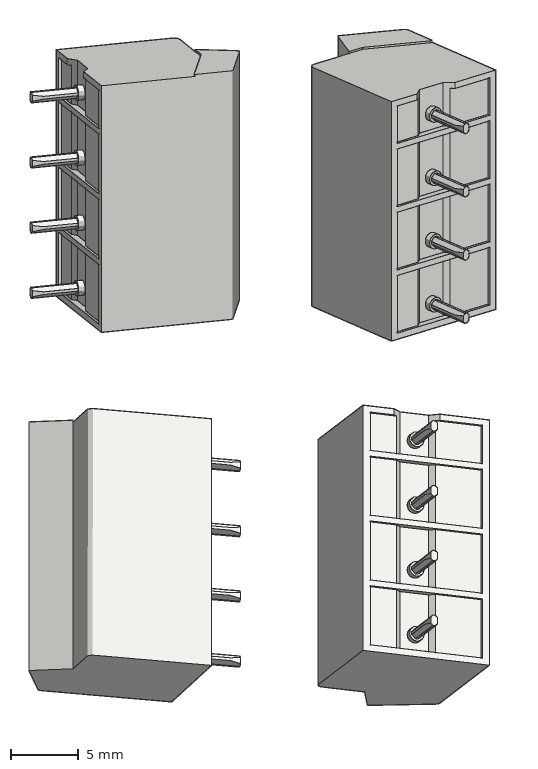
import cadquery as cq
import math

WIDTH = 10.0
HEIGHT = 19.1
DEPTH = 15.9

HOUSING_HEIGHT = 18.95
HOUSING_DEPTH = 9.5
HOUSING_FILLET = 0.5
SHOULDER_X = 5.15
SHOULDER_LEDGE = 0.2
TILT = 25.0

BLOCK_START_X = 3.84
BLOCK_RISE = 2.95
BLOCK_TIP_FILLET = 0.2
BLOCK_SIDE_FILLET = 0.36

POLE_COUNT = 4
POLE_PITCH = 5.0
PIN_X = 4.28
FIRST_PIN_Z = 1.8

SIDE_WALL = 0.57
FLOOR_WALL = 0.5
ROOF_WALL = 0.48
RIB = 0.44
CELL_DEPTH = 0.23

CHANNEL_MOUTH = 3.63
CHANNEL_FLOOR = 2.25
CHANNEL_DEPTH = 0.55

COLLAR_DIAMETER = 1.13
COLLAR_SETBACK = 0.05
PIN_WIDTH = 0.8
PIN_FLAT = 0.21
PIN_TIP_WIDTH = 0.53
PIN_TAPER = 0.82

tilt_slope = math.tan(math.radians(TILT))
pin_reach = DEPTH - HOUSING_DEPTH - BLOCK_RISE
ledge_x = WIDTH - SHOULDER_LEDGE
ledge_y = HOUSING_DEPTH - (ledge_x - SHOULDER_X) * tilt_slope


def prism_along_z(points, z_start, z_end):
    """Extrude an XY outline between two heights."""
    return cq.Workplane("XY").workplane(offset=z_start).polyline(points).close().extrude(z_end - z_start)


def edge_along_z(x, y):
    """Selector for the Z edge nearest to the given place, halfway up."""
    return cq.selectors.NearestToPointSelector((x, y, HEIGHT / 2))


def make_housing():
    outline = [
        (0, 0),
        (WIDTH, 0),
        (WIDTH, ledge_y),
        (ledge_x, ledge_y),
        (SHOULDER_X, HOUSING_DEPTH),
        (0, HOUSING_DEPTH),
    ]
    housing = prism_along_z(outline, 0, HOUSING_HEIGHT)
    return housing.edges(edge_along_z(0, HOUSING_DEPTH)).fillet(HOUSING_FILLET)


def make_entry_block():
    tilt = math.radians(TILT)
    rounding_loss = BLOCK_TIP_FILLET * (math.cos(tilt) + math.sin(tilt) - 1)
    tip_y = HOUSING_DEPTH + BLOCK_RISE + rounding_loss
    tip_x = BLOCK_START_X + (tip_y - HOUSING_DEPTH) * tilt_slope
    side_y = tip_y - (WIDTH - tip_x) * tilt_slope
    outline = [
        (BLOCK_START_X, HOUSING_DEPTH),
        (SHOULDER_X, HOUSING_DEPTH),
        (ledge_x, ledge_y),
        (WIDTH, ledge_y),
        (WIDTH, side_y),
        (tip_x, tip_y),
    ]
    block = prism_along_z(outline, 0, HEIGHT)
    block = block.edges(edge_along_z(tip_x, tip_y)).fillet(BLOCK_TIP_FILLET)
    return block.edges(edge_along_z(WIDTH, side_y)).fillet(BLOCK_SIDE_FILLET)


def make_front_recess(z_start, cell_top, channel_top):
    """Cell and channel of one pole, to be cut from the front face."""
    cell = cq.Workplane("XY").box(
        WIDTH - 2 * SIDE_WALL, CELL_DEPTH, cell_top - z_start, centered=False
    ).translate((SIDE_WALL, 0, z_start))
    channel = prism_along_z(
        [
            (PIN_X - CHANNEL_MOUTH / 2, 0),
            (PIN_X + CHANNEL_MOUTH / 2, 0),
            (PIN_X + CHANNEL_FLOOR / 2, CHANNEL_DEPTH),
            (PIN_X - CHANNEL_FLOOR / 2, CHANNEL_DEPTH),
        ],
        z_start,
        channel_top,
    )
    return cell.union(channel)


def make_pin(z):
    """Collar and tapered eight-sided pin pointing toward -Y."""
    collar = (
        cq.Workplane("XZ", origin=(PIN_X, CHANNEL_DEPTH, z))
        .circle(COLLAR_DIAMETER / 2)
        .extrude(CHANNEL_DEPTH - COLLAR_SETBACK)
    )
    shaft = (
        cq.Workplane("XZ", origin=(PIN_X, CHANNEL_DEPTH, z))
        .rect(PIN_WIDTH, PIN_WIDTH)
        .extrude(CHANNEL_DEPTH + pin_reach)
        .edges("|Y")
        .chamfer((PIN_WIDTH - PIN_FLAT) / 2)
    )
    half_width = PIN_WIDTH / 2
    half_tip = PIN_TIP_WIDTH / 2
    taper_profile = [
        (PIN_X - half_width, CHANNEL_DEPTH),
        (PIN_X - half_width, PIN_TAPER - pin_reach),
        (PIN_X - half_tip, -pin_reach),
        (PIN_X + half_tip, -pin_reach),
        (PIN_X + half_width, PIN_TAPER - pin_reach),
        (PIN_X + half_width, CHANNEL_DEPTH),
    ]
    taper = prism_along_z(taper_profile, z - PIN_WIDTH, z + PIN_WIDTH)
    return collar.union(shaft.intersect(taper))


result = make_housing().union(make_entry_block())

for pole in range(POLE_COUNT):
    cell_start = FLOOR_WALL + pole * POLE_PITCH
    cell_end = cell_start + POLE_PITCH - RIB
    channel_end = cell_end
    if pole == POLE_COUNT - 1:
        cell_end = HOUSING_HEIGHT - ROOF_WALL
        channel_end = HOUSING_HEIGHT
    result = result.cut(make_front_recess(cell_start, cell_end, channel_end))

for pole in range(POLE_COUNT):
    result = result.union(make_pin(FIRST_PIN_Z + pole * POLE_PITCH))